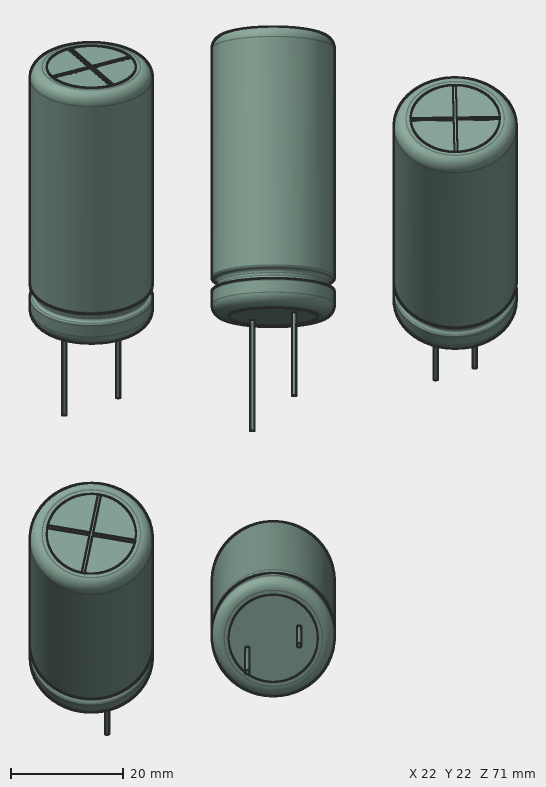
import cadquery as cq
import math


outer_diameter = 22.0
body_height = 51.0
rim_fillet = 2.25
sleeve_thickness = 0.1
sleeve_opening_diameter = 15.89

groove_floor_diameter = 20.26
groove_bottom = 4.5
groove_floor_bottom = 5.5
groove_floor_top = 6.0
groove_top = 7.2
groove_root_share = 0.6

vent_slot_width = 0.55
vent_slot_depth = 0.2
vent_slot_angles = (45, 135)

lead_diameter = 0.8
lead_pitch = 10.0
long_lead_length = 20.0
short_lead_length = 15.0


def groove_flank_bend(wall_radius, floor_radius, wall_z, floor_z, inset):
    """Point where the concave arc of a groove flank turns into the convex arc."""
    depth = wall_radius - floor_radius
    height = wall_z - floor_z
    both_radii = (depth**2 + height**2) / (2 * depth)
    share = groove_root_share + inset / both_radii
    return (floor_radius + share * depth, floor_z + share * height)


def crimped_cylinder(inset):
    """Round-ended grooved cylinder, with its whole surface moved inward by the inset."""
    wall = outer_diameter / 2 - inset
    floor = groove_floor_diameter / 2 - inset
    fillet = rim_fillet - inset
    bottom = inset
    top = body_height - inset
    flat = wall - fillet
    lower_bend = groove_flank_bend(wall, floor, groove_bottom, groove_floor_bottom, inset)
    upper_bend = groove_flank_bend(wall, floor, groove_top, groove_floor_top, inset)
    arc_offset = fillet * math.sqrt(0.5)
    profile = (
        cq.Workplane("XZ")
        .moveTo(0, bottom)
        .lineTo(flat, bottom)
        .threePointArc((flat + arc_offset, rim_fillet - arc_offset), (wall, rim_fillet))
        .lineTo(wall, groove_bottom)
        .tangentArcPoint(lower_bend, relative=False)
        .tangentArcPoint((floor, groove_floor_bottom), relative=False)
        .lineTo(floor, groove_floor_top)
        .tangentArcPoint(upper_bend, relative=False)
        .tangentArcPoint((wall, groove_top), relative=False)
        .lineTo(wall, body_height - rim_fillet)
        .threePointArc((flat + arc_offset, body_height - rim_fillet + arc_offset), (flat, top))
        .lineTo(0, top)
        .close()
    )
    return profile.revolve(360, (0, 0), (0, 1))


def make_sleeve():
    """Skin of even thickness over the can, open in the middle of both ends."""
    openings = cq.Workplane("XY").circle(sleeve_opening_diameter / 2).extrude(body_height)
    return crimped_cylinder(0).cut(crimped_cylinder(sleeve_thickness)).cut(openings)


def vent_cross():
    """Crossed slots that end at the edge of the sleeve opening."""
    can_top = body_height - sleeve_thickness
    slots = cq.Workplane("XY")
    for angle in vent_slot_angles:
        slot = (
            cq.Workplane("XY", origin=(0, 0, can_top))
            .transformed(rotate=(0, 0, angle))
            .rect(sleeve_opening_diameter, vent_slot_width)
            .extrude(-vent_slot_depth)
        )
        slots = slots.add(slot)
    return slots.combine()


def lead(x, length):
    """Round lead that starts on the can bottom and hangs the given length below the sleeve."""
    return (
        cq.Workplane("XY", origin=(x, 0, sleeve_thickness))
        .circle(lead_diameter / 2)
        .extrude(-(length + sleeve_thickness))
    )


def make_can():
    """Can with its vent cross and both leads as one solid."""
    can = crimped_cylinder(sleeve_thickness).cut(vent_cross())
    for x, length in ((-lead_pitch / 2, long_lead_length), (lead_pitch / 2, short_lead_length)):
        can = can.union(lead(x, length))
    return can


sleeve = make_sleeve()
can = make_can()

result = cq.Compound.makeCompound([sleeve.solids().val(), can.solids().val()])